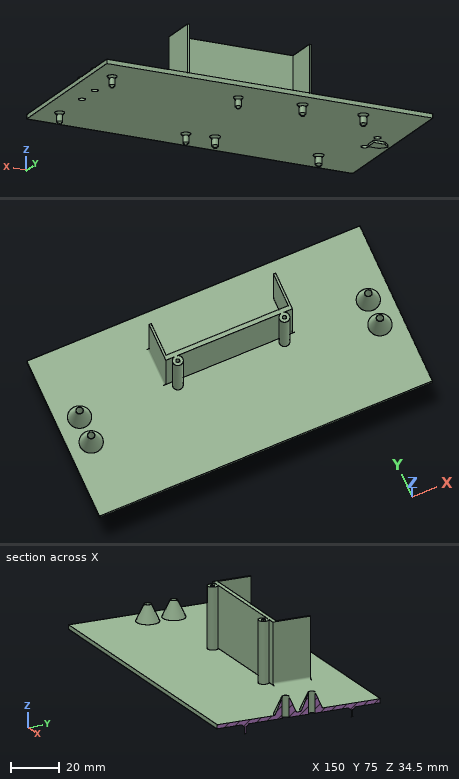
import cadquery as cq

PLATE_LENGTH = 150.0
PLATE_WIDTH = 75.0
PLATE_THICKNESS = 2.0

CONE_HEIGHT = 7.5
CONE_BASE_DIAMETER = 10.0
CONE_TOP_DIAMETER = 3.1
CONE_HOLE_DIAMETER = 2.9
CONE_SPACING_X = 130.0
CONE_SPACING_Y = 12.0

HOLDER_CENTER_X = 1.9
HOLDER_FRONT_Y = 5.0
HOLDER_LENGTH = 57.0
HOLDER_DEPTH = 17.3
HOLDER_HEIGHT = 27.5
HOLDER_FRONT_WALL = 2.0
HOLDER_SIDE_WALL = 1.0
HOLDER_FOOT_RADIUS = 1.0

POST_DIAMETER = 4.5
POST_HOLE_DIAMETER = 1.6
POST_SPACING = 48.0
POST_WALL_OVERLAP = 0.15

PIN_LENGTH = 5.0
PIN_ROOT_HEIGHT = 1.0
PIN_ROOT_FLARE = 0.8
PIN_TIP_HEIGHT = 1.0
PIN_TIP_TAPER = 0.85

WIDE_PIN_DIAMETER = 2.9
WIDE_PIN_ORIGIN = (-52.5, -23.6)
WIDE_PIN_OFFSETS = [(0.0, 0.0), (5.08, 52.07), (33.02, 52.07), (48.26, 1.27)]

SLIM_PIN_DIAMETER = 2.5
SLIM_PIN_CENTER_X = 37.15
SLIM_PIN_SPACING_X = 58.0
SLIM_PIN_SPACING_Y = 49.0

POINTER_TIP_X = -72.8
POINTER_HEAD_LENGTH = 2.8
POINTER_LENGTH = 7.9
POINTER_WIDTH = 5.6
POINTER_HEIGHT = 1.0


def make_plate():
    return cq.Workplane("XY").box(
        PLATE_LENGTH, PLATE_WIDTH, PLATE_THICKNESS, centered=(True, True, False)
    )


def cone_positions():
    return [
        (side_x * CONE_SPACING_X / 2, side_y * CONE_SPACING_Y / 2)
        for side_x in (-1, 1)
        for side_y in (-1, 1)
    ]


def make_cone(x, y):
    cone = cq.Solid.makeCone(
        CONE_BASE_DIAMETER / 2,
        CONE_TOP_DIAMETER / 2,
        CONE_HEIGHT,
        cq.Vector(x, y, PLATE_THICKNESS),
    )
    return cq.Workplane(obj=cone)


def make_cone_holes():
    return (
        cq.Workplane("XY")
        .pushPoints(cone_positions())
        .circle(CONE_HOLE_DIAMETER / 2)
        .extrude(PLATE_THICKNESS + CONE_HEIGHT)
    )


def make_holder():
    block = (
        cq.Workplane("XY", origin=(HOLDER_CENTER_X, HOLDER_FRONT_Y, PLATE_THICKNESS))
        .box(HOLDER_LENGTH, HOLDER_DEPTH, HOLDER_HEIGHT, centered=(True, False, False))
    )
    cavity = (
        cq.Workplane("XY", origin=(HOLDER_CENTER_X, HOLDER_FRONT_Y + HOLDER_FRONT_WALL, PLATE_THICKNESS))
        .box(
            HOLDER_LENGTH - 2 * HOLDER_SIDE_WALL,
            HOLDER_DEPTH - HOLDER_FRONT_WALL,
            HOLDER_HEIGHT,
            centered=(True, False, False),
        )
    )
    return block.cut(cavity)


def make_holder_foot(side):
    """Concave fillet between the plate and the outside of one side wall."""
    wall_x = HOLDER_CENTER_X + side * HOLDER_LENGTH / 2
    toe_x = wall_x + side * HOLDER_FOOT_RADIUS
    top_z = PLATE_THICKNESS + HOLDER_FOOT_RADIUS
    corner = (
        cq.Workplane("XZ")
        .moveTo(wall_x, PLATE_THICKNESS)
        .lineTo(toe_x, PLATE_THICKNESS)
        .lineTo(toe_x, top_z)
        .lineTo(wall_x, top_z)
        .close()
        .extrude(-HOLDER_DEPTH)
    )
    hollow = cq.Workplane("XZ").center(toe_x, top_z).circle(HOLDER_FOOT_RADIUS).extrude(-HOLDER_DEPTH)
    return corner.cut(hollow).translate((0, HOLDER_FRONT_Y, 0))


def make_post_cylinders(diameter):
    """Two upright cylinders on the post axes, used for the posts and for their bores."""
    center_y = HOLDER_FRONT_Y + POST_WALL_OVERLAP - POST_DIAMETER / 2
    return (
        cq.Workplane("XY", origin=(HOLDER_CENTER_X, center_y, PLATE_THICKNESS))
        .pushPoints([(-POST_SPACING / 2, 0), (POST_SPACING / 2, 0)])
        .circle(diameter / 2)
        .extrude(HOLDER_HEIGHT)
    )


def make_pin(x, y, diameter):
    """Downward pin with a flared root and a tapered tip."""
    radius = diameter / 2
    profile = (
        cq.Workplane("XZ")
        .moveTo(0, 0)
        .lineTo(radius + PIN_ROOT_FLARE, 0)
        .lineTo(radius, -PIN_ROOT_HEIGHT)
        .lineTo(radius, PIN_TIP_HEIGHT - PIN_LENGTH)
        .lineTo(radius - PIN_TIP_TAPER, -PIN_LENGTH)
        .lineTo(0, -PIN_LENGTH)
        .close()
    )
    return profile.revolve(360, (0, 0, 0), (0, 1, 0)).translate((x, y, 0))


def make_pointer():
    shoulder_x = POINTER_TIP_X + POINTER_HEAD_LENGTH
    tail_x = POINTER_TIP_X + POINTER_LENGTH
    half_width = POINTER_WIDTH / 2
    return (
        cq.Workplane("XY")
        .moveTo(POINTER_TIP_X, 0)
        .lineTo(shoulder_x, -half_width)
        .lineTo(tail_x, -half_width)
        .lineTo(tail_x, half_width)
        .lineTo(shoulder_x, half_width)
        .close()
        .extrude(-POINTER_HEIGHT)
    )


part = make_plate()

for cone_x, cone_y in cone_positions():
    part = part.union(make_cone(cone_x, cone_y))

part = part.union(make_holder())
for foot_side in (-1, 1):
    part = part.union(make_holder_foot(foot_side))
part = part.union(make_post_cylinders(POST_DIAMETER))

for offset_x, offset_y in WIDE_PIN_OFFSETS:
    pin_x = WIDE_PIN_ORIGIN[0] + offset_x
    pin_y = WIDE_PIN_ORIGIN[1] + offset_y
    part = part.union(make_pin(pin_x, pin_y, WIDE_PIN_DIAMETER))

for side_x in (-1, 1):
    for side_y in (-1, 1):
        pin_x = SLIM_PIN_CENTER_X + side_x * SLIM_PIN_SPACING_X / 2
        pin_y = side_y * SLIM_PIN_SPACING_Y / 2
        part = part.union(make_pin(pin_x, pin_y, SLIM_PIN_DIAMETER))

part = part.union(make_pointer())

part = part.cut(make_cone_holes())
result = part.cut(make_post_cylinders(POST_HOLE_DIAMETER))